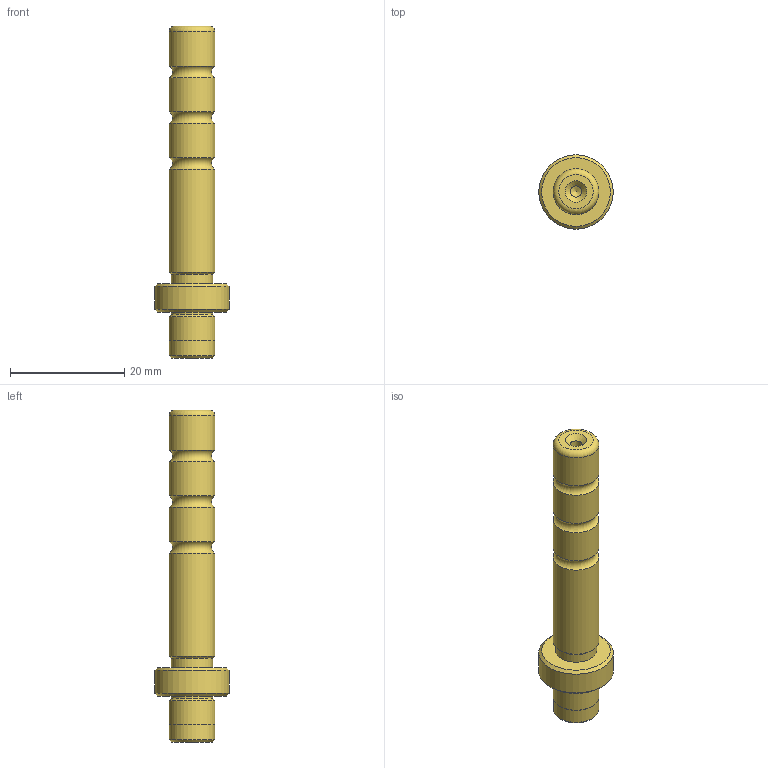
import cadquery as cq
import math

total_length = 58.0
shaft_radius = 3.995
tip_fillet = 1.0

stub_radius = 4.005
lead_in_radius = 3.97
lead_in_length = 3.0
foot_chamfer = 0.4

collar_radius = 6.5
collar_bottom = 8.0
collar_height = 5.0
collar_chamfer = 0.5

neck_radius = 3.6
upper_neck_length = 1.6
lower_neck_length = 0.4

groove_count = 3
groove_pitch = 8.0
first_groove_from_tip = 8.0
groove_width = 2.0
groove_depth = 0.6

countersink_radius = 1.9
countersink_angle = 90.0
pilot_radius = 1.0
pilot_length = 2.0
drill_point_angle = 120.0


def cylinder(radius, bottom, top):
    return cq.Workplane("XY").workplane(offset=bottom).circle(radius).extrude(top - bottom)


def cone_height(radius_change, included_angle):
    return radius_change / math.tan(math.radians(included_angle / 2))


def make_stub():
    stub_top = collar_bottom - lower_neck_length
    lead_in = cylinder(lead_in_radius, 0, lead_in_length).faces("<Z").chamfer(foot_chamfer)
    stub = cylinder(stub_radius, lead_in_length, stub_top).faces(">Z").chamfer(stub_radius - neck_radius)
    neck = cylinder(neck_radius, stub_top, collar_bottom)
    return lead_in.union(stub).union(neck)


def make_collar():
    collar = cylinder(collar_radius, collar_bottom, collar_bottom + collar_height)
    return collar.faces("<Z or >Z").chamfer(collar_chamfer)


def make_shaft():
    collar_top = collar_bottom + collar_height
    shaft_bottom = collar_top + upper_neck_length
    neck = cylinder(neck_radius, collar_top, shaft_bottom)
    shaft = cylinder(shaft_radius, shaft_bottom, total_length)
    shaft = shaft.faces("<Z").chamfer(shaft_radius - neck_radius)
    shaft = shaft.faces(">Z").edges().fillet(tip_fillet)
    return shaft.union(neck)


def make_groove(center_z):
    half_width = groove_width / 2
    arc_radius = (half_width**2 + groove_depth**2) / (2 * groove_depth)
    arc_center = shaft_radius - groove_depth + arc_radius
    return (
        cq.Workplane("XZ")
        .center(arc_center, center_z)
        .circle(arc_radius)
        .revolve(360, (-arc_center, 0), (-arc_center, 1))
    )


def make_center_hole():
    pilot_top = total_length - cone_height(countersink_radius - pilot_radius, countersink_angle)
    pilot_bottom = pilot_top - pilot_length
    drill_tip = pilot_bottom - cone_height(pilot_radius, drill_point_angle)
    return (
        cq.Workplane("XZ")
        .moveTo(0, total_length)
        .lineTo(countersink_radius, total_length)
        .lineTo(pilot_radius, pilot_top)
        .lineTo(pilot_radius, pilot_bottom)
        .lineTo(0, drill_tip)
        .close()
        .revolve(360, (0, 0), (0, 1))
    )


pin = make_stub().union(make_collar()).union(make_shaft())

for index in range(groove_count):
    groove_z = total_length - first_groove_from_tip - index * groove_pitch
    pin = pin.cut(make_groove(groove_z))

result = pin.cut(make_center_hole())